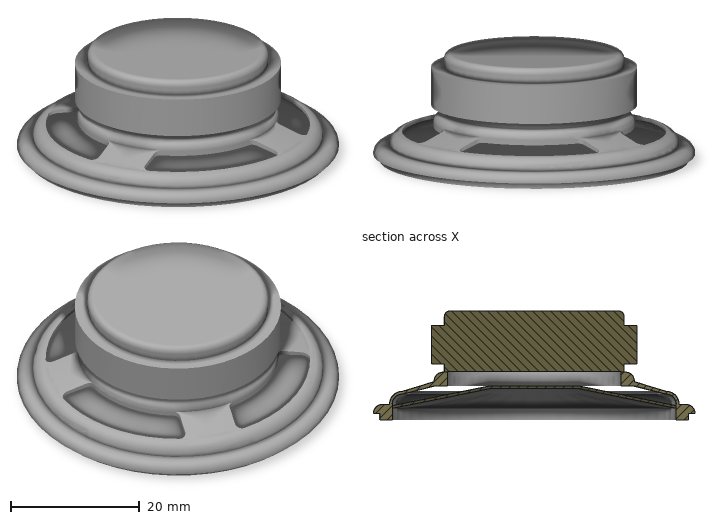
import cadquery as cq


flange_bottom = 1.0
flange_top = 2.5
rim_top = 4.5
neck_bottom = 5.25
shoulder_height = 6.0
neck_top = 7.5
ring_bottom = 8.7
ring_top = 14.75
total_height = 17.0

flange_radius = 25.0
flange_round = flange_top - flange_bottom
seat_radius = 48.0 / 2
rim_radius = 22.5
rim_round = rim_top - flange_top
rim_wall = 0.5
rim_bore_radius = rim_radius - rim_wall
window_radius = rim_radius - rim_round
neck_radius = 15.6
neck_round = neck_top - shoulder_height
neck_bore_radius = 26.8 / 2
spoke_width = 8.0
window_corner_radius = 1.0

core_radius = 28.0 / 2
ring_radius = 32.0 / 2
core_round = 1.0

crown_radius = 13.8 / 2
crown_height = 5.35
cone_edge_height = 2.3
cone_thickness = 0.5


def cylinder(radius, bottom, top):
    return cq.Workplane("XY").workplane(offset=bottom).circle(radius).extrude(top - bottom)


def revolve_profile(profile):
    """Turn a closed XZ profile once around the Z axis."""
    return profile.close().revolve(360, (0, 0, 0), (0, 1, 0))


def make_windows():
    """Four openings between the spokes, each with rounded corners."""
    height = shoulder_height
    ring = cylinder(window_radius, 0, height).cut(cylinder(neck_radius, 0, height))
    bar_length = 2 * flange_radius
    for length, width in ((bar_length, spoke_width), (spoke_width, bar_length)):
        ring = ring.cut(cq.Workplane("XY").rect(length, width).extrude(height))
    return ring.edges("|Z").fillet(window_corner_radius)


def make_basket():
    """Stepped rim, sloping spokes and rounded neck in one hollow body."""
    diagonal = 0.5 ** 0.5
    flange_arc = (
        flange_radius - flange_round * (1 - diagonal),
        flange_bottom + flange_round * diagonal,
    )
    rim_arc = (rim_radius - rim_round * (1 - diagonal), flange_top + rim_round * diagonal)
    rim_inner_round = rim_round - rim_wall
    rim_inner_arc = (
        window_radius + rim_inner_round * diagonal,
        flange_top + rim_inner_round * diagonal,
    )
    neck_arc = (neck_radius - neck_round * (1 - diagonal), shoulder_height + neck_round * diagonal)
    body = revolve_profile(
        cq.Workplane("XZ")
        .moveTo(rim_bore_radius, 0)
        .lineTo(seat_radius, 0)
        .lineTo(seat_radius, flange_bottom)
        .lineTo(flange_radius, flange_bottom)
        .threePointArc(flange_arc, (flange_radius - flange_round, flange_top))
        .lineTo(rim_radius, flange_top)
        .threePointArc(rim_arc, (window_radius, rim_top))
        .lineTo(neck_radius, shoulder_height)
        .threePointArc(neck_arc, (neck_radius - neck_round, neck_top))
        .lineTo(neck_bore_radius, neck_top)
        .lineTo(neck_bore_radius, neck_bottom)
        .lineTo(neck_radius, neck_bottom)
        .lineTo(window_radius, rim_top - rim_wall)
        .threePointArc(rim_inner_arc, (rim_bore_radius, flange_top))
    )
    return body.cut(make_windows())


def make_magnet():
    """Round core with a wider ring around its middle."""
    core = cylinder(core_radius, neck_top, total_height).faces(">Z").edges().fillet(core_round)
    return core.union(cylinder(ring_radius, ring_bottom, ring_top))


def make_diaphragm():
    """Thin cone fitted in the rim bore and closed by a flat crown."""
    return revolve_profile(
        cq.Workplane("XZ")
        .moveTo(0, crown_height - cone_thickness)
        .lineTo(crown_radius, crown_height - cone_thickness)
        .lineTo(rim_bore_radius, cone_edge_height - cone_thickness)
        .lineTo(rim_bore_radius, cone_edge_height)
        .lineTo(crown_radius, crown_height)
        .lineTo(0, crown_height)
    )


basket = make_basket()
magnet = make_magnet()
diaphragm = make_diaphragm()

result = cq.Compound.makeCompound([basket.val(), magnet.val(), diaphragm.val()])